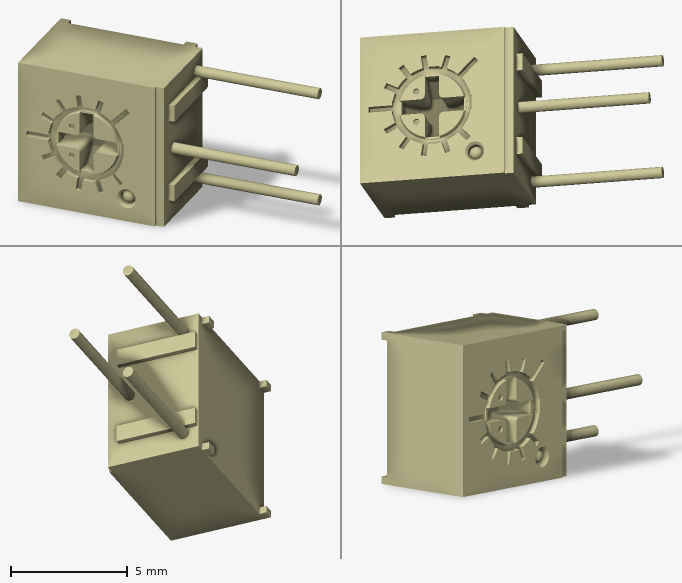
import cadquery as cq


housing_length = 6.72
housing_height = 6.6
housing_depth = 4.38
base_length = 0.37
base_setback = 0.11

foot_height = 0.32
foot_width = 0.32
end_foot_length = 0.46
base_foot_length = 0.52

standoff_length = 0.26
standoff_width = 0.76
standoff_offset = 1.89
standoff_front = 0.65
standoff_back = 4.35

pin_diameter = 0.49
pin_pitch = 2.53
pin_end = 12.45
middle_pin_depth = 1.16
outer_pin_depth = middle_pin_depth + pin_pitch

dial_x = 3.15
dial_radius = 1.74
dial_depth = 0.25
mark_width = 0.25
mark_count = 11
first_mark_angle = 45.0
mark_step = 27.0
short_mark_reach = 2.29
long_mark_reach = 2.76
long_marks = (0, 5)

rotor_setback = 0.06
rotor_face_radius = 1.43
rotor_foot_radius = 1.48

slot_width = 0.63
slot_depth = 1.52
slot_half_length = 1.37
rim_height = 0.04
slot_corner_radius = 0.19
slot_fillet = 0.118
ramp_length = 0.6

dimple_diameter = 0.27
dimple_offset = 0.68
dimple_depth = 0.12

dome_x = 5.04
dome_z = -2.23
mouth_radius = 0.44
mouth_depth = 0.12
recess_radius = 0.34
recess_depth = 0.37
dome_radius = 0.31


class FloorEdgeSelector(cq.Selector):
    """Edges of the slot floor and ramps that run along the side walls."""

    def filter(self, edges):
        ramp_top = slot_depth - ramp_length
        chosen = []
        for edge in edges:
            centre = edge.Center()
            crosses_arm = min(abs(centre.x), abs(centre.z)) < slot_width / 4
            if centre.y > ramp_top and not crosses_arm:
                chosen.append(edge)
        return chosen


def block(x_range, y_range, z_range):
    """Box between the given limits."""
    lows, highs = zip(x_range, y_range, z_range)
    sizes = [high - low for low, high in zip(lows, highs)]
    return cq.Workplane("XY").box(*sizes, centered=False).translate(lows)


def dial_plane():
    """Dial face at the rotor axis: its x runs away from the pins, its normal into the body."""
    return cq.Workplane(cq.Plane(origin=(dial_x, 0, 0), xDir=(-1, 0, 0), normal=(0, 1, 0)))


def make_shell():
    half_height = housing_height / 2
    base_start = housing_length - base_length
    shell = block((0, base_start), (0, housing_depth), (-half_height, half_height))
    shell = shell.union(
        block((base_start, housing_length), (base_setback, housing_depth), (-half_height, half_height))
    )
    foot_x_ranges = ((0, end_foot_length), (base_start - base_foot_length, base_start))
    foot_y_range = (housing_depth, housing_depth + foot_height)
    for x_range in foot_x_ranges:
        for z_low in (-half_height, half_height - foot_width):
            shell = shell.union(block(x_range, foot_y_range, (z_low, z_low + foot_width)))
    for side in (-1, 1):
        z_low = side * standoff_offset - standoff_width / 2
        shell = shell.union(
            block(
                (housing_length, housing_length + standoff_length),
                (standoff_front, standoff_back),
                (z_low, z_low + standoff_width),
            )
        )
    return shell


def make_rotor():
    """Part of the rotor that stands above the dial floor."""
    profile = [
        (0, rotor_setback),
        (rotor_face_radius, rotor_setback),
        (rotor_foot_radius, dial_depth),
        (0, dial_depth),
    ]
    rotor = cq.Workplane("XY").polyline(profile).close().revolve(360, (0, 0), (0, 1))
    return rotor.translate((dial_x, 0, 0))


def make_dial_recess():
    """Ring round the rotor and its radial marks."""
    recess = dial_plane().circle(dial_radius).extrude(dial_depth)
    for index in range(mark_count):
        reach = long_mark_reach if index in long_marks else short_mark_reach
        mark = block((0, reach), (0, dial_depth), (-mark_width / 2, mark_width / 2))
        angle = first_mark_angle + index * mark_step
        mark = mark.rotate((0, 0, 0), (0, 1, 0), -angle).translate((dial_x, 0, 0))
        recess = recess.union(mark)
    return recess.cut(make_rotor())


def make_slot_arms():
    """Slot along X whose flat floor rises in a ramp at each end."""
    floor_end = slot_half_length - ramp_length
    ramp_top = slot_depth - ramp_length
    profile = [
        (-slot_half_length, 0),
        (slot_half_length, 0),
        (slot_half_length, ramp_top),
        (floor_end, slot_depth),
        (-floor_end, slot_depth),
        (-slot_half_length, ramp_top),
    ]
    return cq.Workplane("XY").polyline(profile).close().extrude(slot_width / 2, both=True)


def make_cross_slot():
    arms = make_slot_arms()
    slot = arms.union(arms.rotate((0, 0, 0), (0, 1, 0), 90))
    near = slot_width * 0.6
    inner_corners = cq.selectors.BoxSelector((-near, 0, -near), (near, slot_depth, near))
    slot = slot.edges("|Y").edges(inner_corners).fillet(slot_corner_radius)
    slot = slot.edges(FloorEdgeSelector()).fillet(slot_fillet)
    half_width = slot_width / 2
    opening_depth = dial_depth - rim_height
    opening = block((-dial_radius, dial_radius), (0, opening_depth), (-half_width, half_width))
    slot = slot.union(opening).union(opening.rotate((0, 0, 0), (0, 1, 0), 90))
    return slot.translate((dial_x, 0, 0))


def make_dimples():
    centres = [(dimple_offset, dimple_offset), (dimple_offset, -dimple_offset)]
    dimples = dial_plane().pushPoints(centres).circle(dimple_diameter / 2)
    return dimples.extrude(rotor_setback + dimple_depth)


def make_dome_recess():
    profile = [
        (0, 0),
        (mouth_radius, 0),
        (recess_radius, mouth_depth),
        (recess_radius, recess_depth),
        (0, recess_depth),
    ]
    recess = cq.Workplane("XY").polyline(profile).close().revolve(360, (0, 0), (0, 1))
    dome = cq.Workplane("XY").sphere(dome_radius).translate((0, recess_depth, 0))
    return recess.cut(dome).translate((dome_x, 0, dome_z))


def make_housing():
    housing = make_shell()
    housing = housing.cut(make_dial_recess())
    housing = housing.cut(make_cross_slot())
    housing = housing.cut(make_dimples())
    return housing.cut(make_dome_recess())


def make_pin(depth, height):
    plane = cq.Workplane("YZ", origin=(housing_length, depth, height))
    return plane.circle(pin_diameter / 2).extrude(pin_end - housing_length)


housing = make_housing()
pin_places = [(outer_pin_depth, -pin_pitch), (middle_pin_depth, 0), (outer_pin_depth, pin_pitch)]
pins = [make_pin(depth, height) for depth, height in pin_places]

result = cq.Compound.makeCompound([housing.val(), *[pin.val() for pin in pins]])